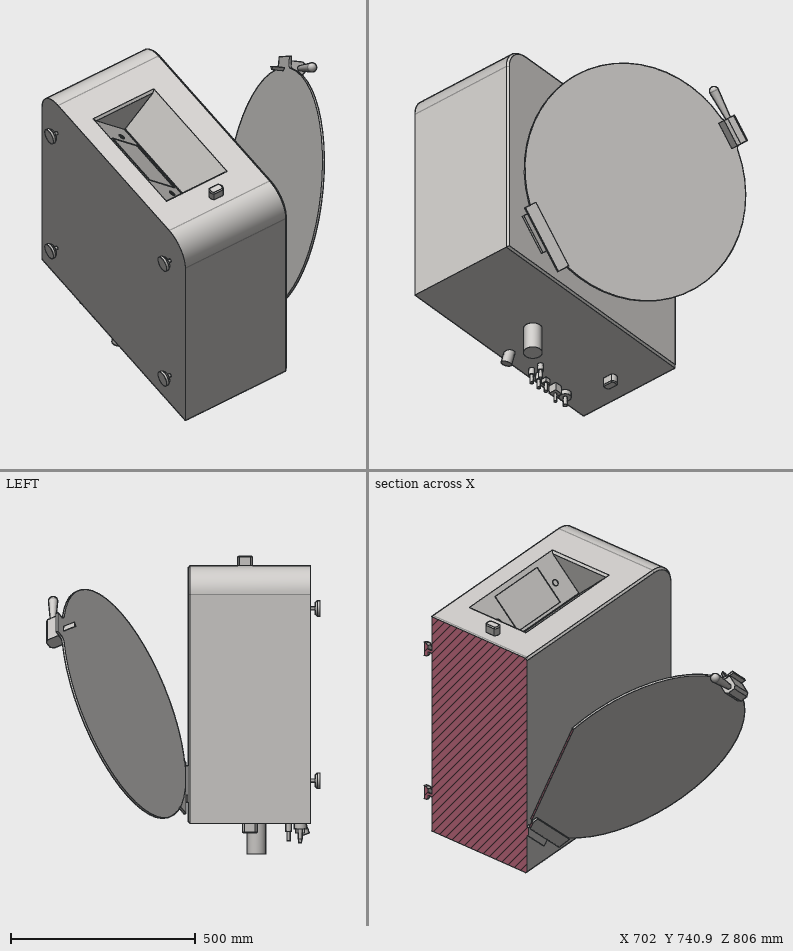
import cadquery as cq
import math

HOUSING_WIDTH = 702.0
HOUSING_HEIGHT = 698.0
HOUSING_DEPTH = 331.0
HOUSING_TOP_RADIUS = 79.0
REAR_CHAMFER = 6.0

FOOT_SPACING_X = 554.5
FOOT_SPACING_Z = 466.0
FOOT_CENTRE_Z = HOUSING_HEIGHT / 2
FOOT_STEM_DIAMETER = 10.0
FOOT_STEM_LENGTH = 12.0
FOOT_CONE_LENGTH = 6.5
FOOT_CONE_DIAMETER = 32
FOOT_DIAMETER = 43.0
FOOT_HEIGHT = 26.0

POCKET_LENGTH = 346.5
POCKET_WIDTH = 184.0
POCKET_CENTRE_Y = 151.0
POCKET_RIM = 6.5
POCKET_FLOOR_WIDTH = 3.0
SCREEN_LENGTH = 182.0
SCREEN_WIDTH = 113
SCREEN_X = -10.0
SCREEN_Y = 103.0
BUTTON_DIAMETER = 18.0
BUTTON_Y = 107.0
BUTTON_XS = (-123.0, 123.0, 150.0)
PANEL_RELIEF = 2.0

SWITCH_WIDTH = 25.0
SWITCH_FLAT_LENGTH = 29.0
SWITCH_LENGTH = 40
SWITCH_HEIGHT = 26.0
SWITCH_CHAMFER = 3.0
TOP_SWITCH_X = 234
TOP_SWITCH_Y = 177
BOTTOM_SWITCH_X = -271.0
BOTTOM_SWITCH_Y = 164.0

PIPE_DIAMETER = 51.0
PIPE_LENGTH = 82.0
PIPE_X = 31.5
PIPE_Y = 147.0
CONNECTOR_Y = 28.0
SECOND_ROW_Y = 60.0
PLUG_X = -242
PLUG_DIAMETER = 33.0
PLUG_LENGTH = 14.5
PLUG_STEM_DIAMETER = 11.0
PLUG_STEM_END = 42.0
BLOCK_X = -201.0
BLOCK_SIDE = 24
BLOCK_LENGTH = 26.0
BLOCK_STEM_DIAMETER = 8
BLOCK_STEM_END = 52.0
SMALL_BLOCK_X = -161
SMALL_BLOCK_SIDE = 16
SMALL_BLOCK_LENGTH = 14.5
SMALL_BLOCK_STEM_END = 41.0
JACK_X = -131.0
JACK_SPACING = 29.0
JACK_DIAMETER = 16
JACK_LENGTH = 21.0
JACK_STEM_DIAMETER = 10.0
JACK_STEM_END = 47.0
GLAND_X = -10.0
GLAND_DIAMETER = 30.0
GLAND_LENGTH = 32
GLAND_TILT = 20

HINGE_BASE_LENGTH = 113
HINGE_BASE_WIDTH = 27.0
HINGE_BASE_THICKNESS = 6.0
HINGE_BASE_X = 242
HINGE_BASE_Z = 107.0

HINGE_LINE_ANGLE = 45
LID_OPENING_ANGLE = 30
LID_CENTRE = (25.0, 503.0, 325.0)
LID_RADIUS = 330.5
LID_THICKNESS = 6.05

TAB_WIDTH = 72.5
TAB_REACH = 361.0
TAB_FILLET = 16
LATCH_LENGTH = 77.0
LATCH_WIDTH = 36.0
LATCH_HEIGHT = 42.0
LATCH_CHAMFER = 8
LATCH_AXIS = 330.5
LATCH_PIN_WIDTH = 18.0
LATCH_PIN_LENGTH = 34.0
HANDLE_HEIGHT = 26.5
HANDLE_BASE_RADIUS = 7.0
HANDLE_TIP_RADIUS = 13.0
HANDLE_TIP_CENTRE = 122.0

LEAF_START = -121
LEAF_END = 73.0
LEAF_INNER = 306
LEAF_THICKNESS = 6.05
LEAF_OUTER = (
    LID_CENTRE[1]
    - HOUSING_DEPTH
    - HINGE_BASE_THICKNESS
    + LID_THICKNESS * math.cos(math.radians(LID_OPENING_ANGLE))
) / math.sin(math.radians(LID_OPENING_ANGLE))


def hanging_cylinder(x, y, diameter, length):
    """Cylinder that hangs from the underside of the housing."""
    return cq.Workplane("XY").center(x, y).circle(diameter / 2).extrude(-length)


def hanging_block(x, y, side, length):
    """Square block that hangs from the underside of the housing."""
    return cq.Workplane("XY").center(x, y).rect(side, side).extrude(-length)


def make_shell():
    shell = cq.Workplane("XY").box(
        HOUSING_WIDTH, HOUSING_DEPTH, HOUSING_HEIGHT, centered=(True, False, False)
    )
    shell = shell.edges("|Y and >Z").fillet(HOUSING_TOP_RADIUS)
    return shell.faces(">Y").edges().chamfer(REAR_CHAMFER)


def make_foot(x, z):
    """Levelling foot: a stem, a flared collar and a flat disc."""
    collar_end = FOOT_STEM_LENGTH + FOOT_CONE_LENGTH
    profile = [
        (0, 0),
        (FOOT_STEM_DIAMETER / 2, 0),
        (FOOT_STEM_DIAMETER / 2, -FOOT_STEM_LENGTH),
        (FOOT_CONE_DIAMETER / 2, -FOOT_STEM_LENGTH),
        (FOOT_DIAMETER / 2, -collar_end),
        (FOOT_DIAMETER / 2, -FOOT_HEIGHT),
        (0, -FOOT_HEIGHT),
    ]
    foot = cq.Workplane("XY").polyline(profile).close().revolve(360, (0, 0, 0), (0, 1, 0))
    return foot.translate((x, 0, z))


def make_pocket():
    """Space of the control pocket: a chamfered rim above two 45 degree slopes."""
    slope_run = (POCKET_WIDTH - POCKET_FLOOR_WIDTH) / 2
    rim_z = HOUSING_HEIGHT - POCKET_RIM
    profile = [
        (-POCKET_WIDTH / 2, rim_z),
        (-POCKET_FLOOR_WIDTH / 2, rim_z - slope_run),
        (POCKET_FLOOR_WIDTH / 2, rim_z - slope_run),
        (POCKET_WIDTH / 2, rim_z),
    ]
    slopes = cq.Workplane("YZ").polyline(profile).close().extrude(POCKET_LENGTH / 2, both=True)
    rim = (
        cq.Workplane("XY")
        .workplane(offset=HOUSING_HEIGHT)
        .rect(POCKET_LENGTH + 2 * POCKET_RIM, POCKET_WIDTH + 2 * POCKET_RIM)
        .extrude(-POCKET_RIM, taper=45)
    )
    return slopes.union(rim).translate((0, POCKET_CENTRE_Y, 0))


def panel_plane(x, y):
    """Plane on the pocket slope that carries the controls, with its normal out of the slope."""
    slope_top_y = POCKET_CENTRE_Y - POCKET_WIDTH / 2
    z = HOUSING_HEIGHT - POCKET_RIM - (y - slope_top_y)
    return cq.Plane(origin=(x, y, z), xDir=(1, 0, 0), normal=(0, 1, 1))


def make_switch(x, y):
    """Switch block with two flat sides, two bowed ends and a chamfered top, standing on Z = 0."""
    half_width = SWITCH_WIDTH / 2
    half_flat = SWITCH_FLAT_LENGTH / 2
    half_length = SWITCH_LENGTH / 2
    switch = (
        cq.Workplane("XY")
        .moveTo(-half_width, -half_flat)
        .threePointArc((0, -half_length), (half_width, -half_flat))
        .lineTo(half_width, half_flat)
        .threePointArc((0, half_length), (-half_width, half_flat))
        .close()
        .extrude(SWITCH_HEIGHT)
        .faces(">Z")
        .chamfer(SWITCH_CHAMFER)
    )
    return switch.translate((x, y, 0))


def make_gland():
    """Cable gland that leans towards the front panel as it goes down."""
    overlap = 8
    gland = cq.Workplane("XY").workplane(offset=overlap).circle(GLAND_DIAMETER / 2)
    gland = gland.extrude(-GLAND_LENGTH - overlap)
    gland = gland.rotate((0, 0, 0), (1, 0, 0), -GLAND_TILT)
    return gland.translate((GLAND_X, CONNECTOR_Y, 0))


def make_connectors():
    """Pipe, plugs and jacks along the underside."""
    second_jack_x = JACK_X + JACK_SPACING
    connectors = [
        hanging_cylinder(PIPE_X, PIPE_Y, PIPE_DIAMETER, PIPE_LENGTH),
        hanging_cylinder(PLUG_X, CONNECTOR_Y, PLUG_DIAMETER, PLUG_LENGTH),
        hanging_cylinder(PLUG_X, CONNECTOR_Y, PLUG_STEM_DIAMETER, PLUG_STEM_END),
        hanging_block(BLOCK_X, CONNECTOR_Y, BLOCK_SIDE, BLOCK_LENGTH),
        hanging_cylinder(BLOCK_X, CONNECTOR_Y, BLOCK_STEM_DIAMETER, BLOCK_STEM_END),
        hanging_block(SMALL_BLOCK_X, CONNECTOR_Y, SMALL_BLOCK_SIDE, SMALL_BLOCK_LENGTH),
        hanging_cylinder(SMALL_BLOCK_X, CONNECTOR_Y, JACK_STEM_DIAMETER, SMALL_BLOCK_STEM_END),
        make_gland(),
    ]
    jack_places = [(JACK_X, CONNECTOR_Y), (second_jack_x, CONNECTOR_Y), (second_jack_x, SECOND_ROW_Y)]
    for x, y in jack_places:
        connectors.append(hanging_cylinder(x, y, JACK_DIAMETER, JACK_LENGTH))
        connectors.append(hanging_cylinder(x, y, JACK_STEM_DIAMETER, JACK_STEM_END))
    return connectors


def make_hinge_base():
    base = cq.Workplane("XY").box(
        HINGE_BASE_LENGTH, HINGE_BASE_THICKNESS, HINGE_BASE_WIDTH, centered=(True, False, True)
    )
    base = base.rotate((0, 0, 0), (0, 1, 0), -HINGE_LINE_ANGLE)
    return base.translate((HINGE_BASE_X, HOUSING_DEPTH, HINGE_BASE_Z))


def make_housing():
    housing = make_shell().cut(make_pocket())

    screen = cq.Workplane(panel_plane(SCREEN_X, SCREEN_Y)).rect(SCREEN_LENGTH, SCREEN_WIDTH)
    housing = housing.cut(screen.extrude(-PANEL_RELIEF))
    for x in BUTTON_XS:
        button = cq.Workplane(panel_plane(x, BUTTON_Y)).circle(BUTTON_DIAMETER / 2)
        housing = housing.union(button.extrude(PANEL_RELIEF))

    for x in (-FOOT_SPACING_X / 2, FOOT_SPACING_X / 2):
        for z in (FOOT_CENTRE_Z - FOOT_SPACING_Z / 2, FOOT_CENTRE_Z + FOOT_SPACING_Z / 2):
            housing = housing.union(make_foot(x, z))

    top_switch = make_switch(TOP_SWITCH_X, TOP_SWITCH_Y).translate((0, 0, HOUSING_HEIGHT))
    bottom_switch = make_switch(BOTTOM_SWITCH_X, BOTTOM_SWITCH_Y).mirror("XY")
    housing = housing.union(top_switch).union(bottom_switch)

    for connector in make_connectors():
        housing = housing.union(connector)
    return housing.union(make_hinge_base())




def make_disc():
    """Round lid plate with the latch tab on its edge."""
    disc = cq.Workplane("XY").circle(LID_RADIUS).extrude(LID_THICKNESS)
    tab = cq.Workplane("XY").center(0, TAB_REACH / 2).rect(TAB_WIDTH, TAB_REACH).extrude(LID_THICKNESS)
    disc = disc.union(tab)
    tab_roots = cq.selectors.BoxSelector(
        (-TAB_WIDTH, LID_RADIUS - TAB_FILLET, -LID_THICKNESS),
        (TAB_WIDTH, LID_RADIUS, 2 * LID_THICKNESS),
    )
    return disc.edges("|Z").edges(tab_roots).fillet(TAB_FILLET)


def make_latch():
    """Latch box on the outer face, with a three-sided pin on the inner side."""
    box = (
        cq.Workplane("XY")
        .box(LATCH_LENGTH, LATCH_WIDTH, LATCH_HEIGHT, centered=(True, True, False))
        .edges("|X and >Z")
        .chamfer(LATCH_CHAMFER)
        .translate((0, LATCH_AXIS, LID_THICKNESS))
    )
    half_width = LATCH_PIN_WIDTH / 2
    pin_outline = [
        (-half_width, LATCH_AXIS),
        (half_width, LATCH_AXIS),
        (0, LATCH_AXIS - half_width),
    ]
    pin = cq.Workplane("XY").workplane(offset=LID_THICKNESS).polyline(pin_outline).close()
    return box.union(pin.extrude(-LID_THICKNESS - LATCH_PIN_LENGTH))


def make_handle():
    """Tapered handle with a ball end, starting on the side of the latch box."""
    handle_length = HANDLE_TIP_CENTRE - LATCH_LENGTH / 2
    profile = (
        cq.Workplane("XY")
        .lineTo(0, HANDLE_BASE_RADIUS)
        .lineTo(-handle_length, HANDLE_TIP_RADIUS)
        .radiusArc((-handle_length - HANDLE_TIP_RADIUS, 0), -HANDLE_TIP_RADIUS)
        .close()
    )
    handle = profile.revolve(360, (0, 0, 0), (1, 0, 0))
    return handle.translate((-LATCH_LENGTH / 2, LATCH_AXIS, LID_THICKNESS + HANDLE_HEIGHT))


def make_hinge_leaf():
    """Strip on the outer face whose edge rests on the hinge base."""
    leaf = cq.Workplane("XY").box(
        LEAF_END - LEAF_START, LEAF_OUTER - LEAF_INNER, LEAF_THICKNESS, centered=False
    )
    return leaf.translate((-LEAF_END, -LEAF_OUTER, LID_THICKNESS))


def make_lid():
    flat_lid = make_disc().union(make_latch()).union(make_handle()).union(make_hinge_leaf())
    hinge_angle = math.radians(HINGE_LINE_ANGLE)
    opening = math.radians(LID_OPENING_ANGLE)
    along_hinge = (math.cos(hinge_angle), 0, math.sin(hinge_angle))
    outward = (
        math.sin(opening) * math.sin(hinge_angle),
        math.cos(opening),
        -math.sin(opening) * math.cos(hinge_angle),
    )
    against_hinge = tuple(-component for component in along_hinge)
    open_plane = cq.Plane(origin=LID_CENTRE, xDir=against_hinge, normal=outward)
    return cq.Workplane(flat_lid.val().moved(cq.Location(open_plane)))


housing = make_housing()
lid = make_lid()
result = cq.Compound.makeCompound([housing.solids().val(), lid.solids().val()])